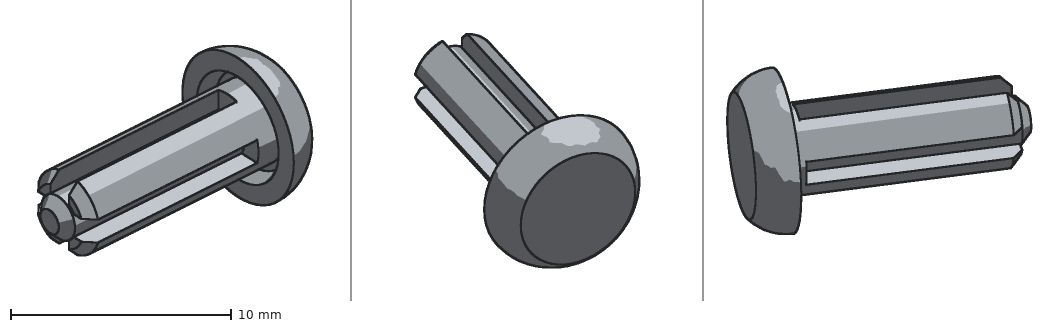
import cadquery as cq

total_length = 13.34

head_height = 1.91
head_diameter = 7.62
head_radius = head_diameter / 2
crown_radius = 2.92
dome_arc_radius = 2.51
underside_drop = 0.03

recess_rim_radius = 2.8
recess_floor_radius = 2.48
recess_depth = 0.88
recess_wall_arc_radius = 1.6

shank_radius = 2.12
shank_end = 12.73
leg_chamfer = 0.52
slot_start = 2.55
slot_width = 1.25

pin_radius = 1.15
pin_chamfer = 0.52


def revolve_about_y(profile):
    """Turn a closed half-profile, drawn in the XY plane, around the Y axis."""
    return profile.close().revolve(360, (0, 0, 0), (0, 1, 0))


def make_head():
    rim_y = -head_height - underside_drop
    recess_floor_y = rim_y + recess_depth
    return revolve_about_y(
        cq.Workplane("XY")
        .lineTo(crown_radius, 0)
        .radiusArc((head_radius, -head_height), dome_arc_radius)
        .lineTo(recess_rim_radius, rim_y)
        .radiusArc((recess_floor_radius, recess_floor_y), -recess_wall_arc_radius)
        .lineTo(0, recess_floor_y)
    )


def make_shank():
    return revolve_about_y(
        cq.Workplane("XY")
        .moveTo(0, -head_height / 2)
        .lineTo(shank_radius, -head_height / 2)
        .lineTo(shank_radius, -shank_end + leg_chamfer)
        .lineTo(shank_radius - leg_chamfer, -shank_end)
        .lineTo(0, -shank_end)
    )


def make_cross_slots():
    slot_length = total_length - slot_start
    slot_middle = -(total_length + slot_start) / 2
    across = head_diameter
    slots = cq.Workplane("XY").box(across, slot_length, slot_width)
    slots = slots.union(cq.Workplane("XY").box(slot_width, slot_length, across))
    return slots.translate((0, slot_middle, 0))


def make_pin():
    return revolve_about_y(
        cq.Workplane("XY")
        .moveTo(0, -head_height)
        .lineTo(pin_radius, -head_height)
        .lineTo(pin_radius, -total_length + pin_chamfer)
        .lineTo(pin_radius - pin_chamfer, -total_length)
        .lineTo(0, -total_length)
    )


slotted_shank = make_shank().cut(make_cross_slots())
rivet = make_head().union(slotted_shank).union(make_pin())
result = rivet.translate((0, total_length / 2, 0))